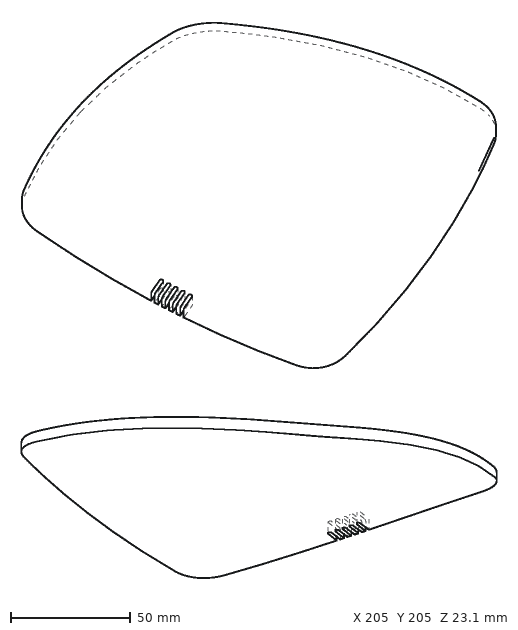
import cadquery as cq
import math

width = 205.0
thickness = 5.0
bend_radius = 300.0
side_radius = 280.9
corner_radius = 20.3
edge_radius = 1.2

slot_count = 5
slot_width = 1.6
slot_pitch = 3.5
slot_inner_distance = 76.9
comb_offset = 4.3

half_width = width / 2
crown_radius = bend_radius + thickness
diagonal = math.sqrt(0.5)

corner_centre = half_width - corner_radius
radius_gap = side_radius - corner_radius
side_centre = (math.sqrt(2 * radius_gap**2 - corner_centre**2) - corner_centre) / 2
side_distance = side_radius - side_centre / diagonal
tangent_x = corner_radius * side_centre / radius_gap
tangent_y = corner_centre + corner_radius * (side_centre + corner_centre) / radius_gap


def rotated(point, quarter_turns):
    """Turn a plan point clockwise about the plate centre."""
    x, y = point
    for _ in range(quarter_turns):
        x, y = y, -x
    return x, y


def plan_outline(workplane):
    """Four corner arcs joined by four side arcs, starting left of the +Y corner."""
    outline = workplane.moveTo(-tangent_x, tangent_y)
    side_middle = side_distance * diagonal
    for turn in range(4):
        outline = outline.threePointArc(
            rotated((0, half_width), turn), rotated((tangent_x, tangent_y), turn)
        )
        outline = outline.threePointArc(
            rotated((side_middle, side_middle), turn), rotated((tangent_y, tangent_x), turn)
        )
    return outline.close()


def bend_cylinder(radius):
    """Cylinder along Y whose axis lies below the plate; the underside crown is at Z = 0."""
    return (
        cq.Workplane("XZ")
        .center(0, -bend_radius)
        .circle(radius)
        .extrude(width, both=True)
    )


def curved_plate():
    """Bent plate; the rim is rounded while the blank still reaches well below the underside."""
    blank = plan_outline(cq.Workplane("XY").workplane(offset=-half_width)).extrude(width)
    blank = blank.intersect(bend_cylinder(crown_radius))
    blank = blank.edges("not(|Z or <Z)").fillet(edge_radius)
    return blank.cut(bend_cylinder(bend_radius))


def comb_slots():
    """Round-ended cutters pointing out through the side, cut right through the plate."""
    slot_length = 2 * (side_distance - slot_inner_distance)
    comb_plane = cq.Workplane("XY").transformed(rotate=(0, 0, -45))
    slot_centre = slot_inner_distance + slot_length / 2
    first_slot = comb_offset - (slot_count - 1) * slot_pitch / 2
    centres = [(slot_centre, first_slot + i * slot_pitch) for i in range(slot_count)]
    return comb_plane.pushPoints(centres).slot2D(slot_length, slot_width).extrude(width, both=True)


result = curved_plate().cut(comb_slots())